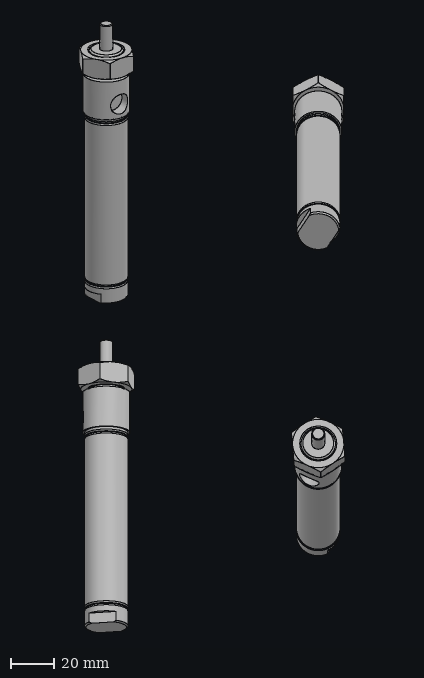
import cadquery as cq
import math

total_length = 139.0

tube_diameter = 20.4
collar_diameter = 22.0
thread_diameter = 16.0
relief_diameter = 15.5
collar_bottom_z = 94.5
collar_top_z = 113.8
neck_top_z = 126.0
neck_chamfer = 0.8
rear_chamfer = 0.7

groove_heights = (8.9, 92.3)
groove_width = 2.0
groove_floor_width = 0.4
groove_depth = 0.3

flat_spacing = 15.8
flat_height = 5.0

port_diameter = 10.0
port_depth = 5.5
port_z = 101.5

nut_across_flats = 23.9
nut_corner_diameter = 27.5
nut_height = 9.9
nut_bottom_z = 115.6
nut_chamfer_angle = 30.0
nut_countersink_diameter = 17.2

rod_diameter = 6.1
rod_bottom_z = collar_top_z
rod_chamfer = 0.4


def cylinder(diameter, bottom_z, top_z):
    """Upright cylinder on the Z axis."""
    return cq.Workplane("XY").workplane(offset=bottom_z).circle(diameter / 2).extrude(top_z - bottom_z)


def crimp_groove(centre_z):
    """Ring with a trapezoid section that cuts a groove around the tube."""
    tube_radius = tube_diameter / 2
    section = [
        (tube_radius, centre_z - groove_width / 2),
        (tube_radius - groove_depth, centre_z - groove_floor_width / 2),
        (tube_radius - groove_depth, centre_z + groove_floor_width / 2),
        (tube_radius, centre_z + groove_width / 2),
    ]
    return cq.Workplane("XZ").polyline(section).close().revolve(360, (0, 0), (0, 1))


def rear_flat_cutters():
    """Slabs outside the two spanner flats, on the -Y and +Y sides."""
    cap_block = cq.Workplane("XY").box(tube_diameter, tube_diameter, flat_height, centered=(True, True, False))
    kept_core = cq.Workplane("XY").box(tube_diameter, flat_spacing, flat_height, centered=(True, True, False))
    return cap_block.cut(kept_core)


def port_cutter():
    """Blind radial hole entering the collar from +X."""
    floor_x = collar_diameter / 2 - port_depth
    return cq.Workplane("YZ", origin=(floor_x, 0, port_z)).circle(port_diameter / 2).extrude(port_depth)


def make_housing():
    tube = cylinder(tube_diameter, 0, collar_bottom_z).faces("<Z").chamfer(rear_chamfer)
    collar = cylinder(collar_diameter, collar_bottom_z, collar_top_z)
    relief = cylinder(relief_diameter, collar_top_z, nut_bottom_z)
    thread = cylinder(thread_diameter, nut_bottom_z, neck_top_z).faces(">Z").chamfer(neck_chamfer)
    housing = tube.union(collar).union(relief).union(thread)
    for centre_z in groove_heights:
        housing = housing.cut(crimp_groove(centre_z))
    housing = housing.cut(rear_flat_cutters())
    housing = housing.cut(port_cutter())
    return housing.cut(cylinder(rod_diameter, rod_bottom_z, neck_top_z))


def make_nut():
    nut_top_z = nut_bottom_z + nut_height
    face_radius = nut_across_flats / 2
    corner_radius = nut_corner_diameter / 2
    corner_drop = (corner_radius - face_radius) * math.tan(math.radians(nut_chamfer_angle))
    envelope_section = [
        (0, nut_bottom_z),
        (face_radius, nut_bottom_z),
        (corner_radius, nut_bottom_z + corner_drop),
        (corner_radius, nut_top_z - corner_drop),
        (face_radius, nut_top_z),
        (0, nut_top_z),
    ]
    envelope = cq.Workplane("XZ").polyline(envelope_section).close().revolve(360, (0, 0), (0, 1))
    hexagon = (
        cq.Workplane("XY")
        .workplane(offset=nut_bottom_z)
        .polygon(6, nut_across_flats, circumscribed=True)
        .extrude(nut_height)
    )
    bore = cylinder(thread_diameter, nut_bottom_z, nut_top_z)
    countersink_depth = (nut_countersink_diameter - thread_diameter) / 2
    nut = hexagon.intersect(envelope).cut(bore)
    bore_rims = nut.edges("%CIRCLE").edges(cq.selectors.RadiusNthSelector(0))
    return bore_rims.chamfer(countersink_depth)


def make_rod():
    return cylinder(rod_diameter, rod_bottom_z, total_length).faces(">Z").chamfer(rod_chamfer)


housing = make_housing()
nut = make_nut()
rod = make_rod()

result = cq.Compound.makeCompound([housing.val(), nut.val(), rod.val()])